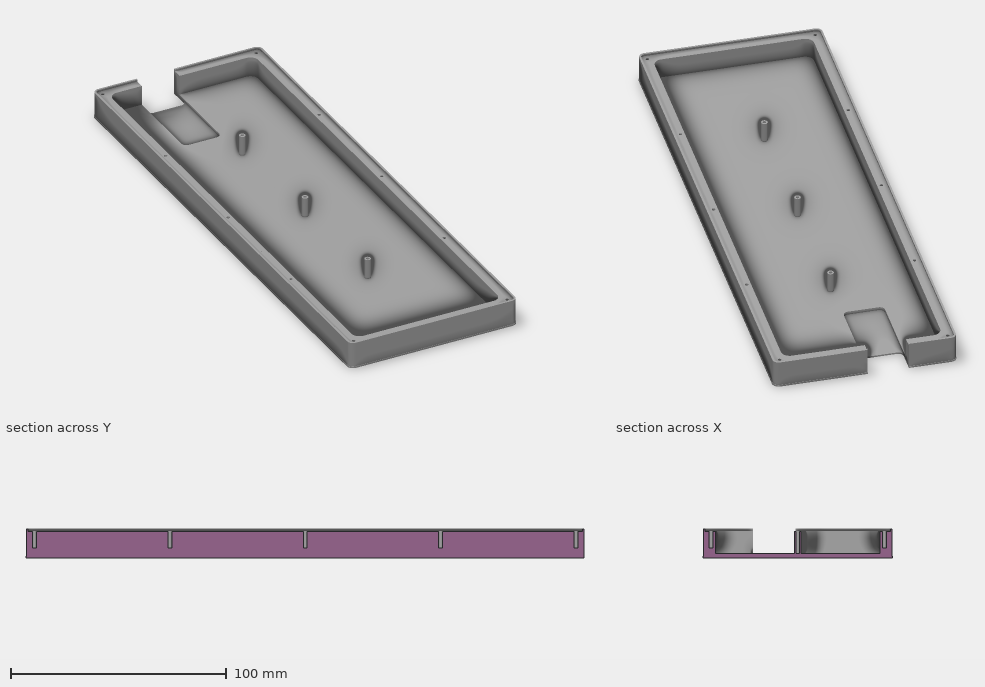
import cadquery as cq

LENGTH = 259.0
WIDTH = 88.0
HEIGHT = 13.5
CORNER_RADIUS = 3.0
FLANGE_THICKNESS = 0.8
FLANGE_OVERHANG = 0.2

WALL_LENGTH = LENGTH - 2 * FLANGE_OVERHANG
WALL_WIDTH = WIDTH - 2 * FLANGE_OVERHANG
WALL_RADIUS = CORNER_RADIUS - FLANGE_OVERHANG
LIP_THICKNESS = 0.93
LIP_HEIGHT = 1.0
RIM_TOP = HEIGHT - LIP_HEIGHT

CAVITY_INSET_X = 5.7
CAVITY_INSET_Y = 6.0
CAVITY_RADIUS = 4.1
FLOOR_TOP = 2.3

OPENING_WIDTH = 19.7
OPENING_CENTER_Y = -11.0
OPENING_RADIUS = 2.5
OPENING_DEPTH = 12.5
RECESS_DEPTH = 48.0
RECESS_FLOOR = FLANGE_THICKNESS

HOLE_DIAMETER = 1.6
HOLE_DEPTH = 7.8
HOLES_PER_ROW = 5
HOLE_ROW_HALF_LENGTH = 125.5
HOLE_ROW_Y = 40.1
HOLE_PITCH = 2 * HOLE_ROW_HALF_LENGTH / (HOLES_PER_ROW - 1)

PIN_DIAMETER = 3.0
PIN_TOP = RIM_TOP
PIN_POINTS = [(i * HOLE_PITCH, 0) for i in (-1, 0, 1)]


def rounded_block(length, width, height, radius, bottom):
    """Block centred in X and Y with rounded vertical edges."""
    block = cq.Workplane("XY").box(length, width, height, centered=(True, True, False))
    return block.edges("|Z").fillet(radius).translate((0, 0, bottom))


def make_body():
    flange = rounded_block(LENGTH, WIDTH, FLANGE_THICKNESS, CORNER_RADIUS, 0)
    walls = rounded_block(WALL_LENGTH, WALL_WIDTH, HEIGHT, WALL_RADIUS, 0)
    return walls.union(flange)


def make_lid_seat():
    length = WALL_LENGTH - 2 * LIP_THICKNESS
    width = WALL_WIDTH - 2 * LIP_THICKNESS
    return rounded_block(length, width, LIP_HEIGHT, WALL_RADIUS - LIP_THICKNESS, RIM_TOP)


def make_cavity():
    length = LENGTH - 2 * CAVITY_INSET_X
    width = WIDTH - 2 * CAVITY_INSET_Y
    return rounded_block(length, width, HEIGHT - FLOOR_TOP, CAVITY_RADIUS, FLOOR_TOP)


def make_slot(depth, bottom):
    """Slot reaching in from the -X end, rounded at its inner corners."""
    slot = cq.Workplane("XY").box(depth, OPENING_WIDTH, HEIGHT, centered=(False, True, False))
    slot = slot.edges("|Z and >X").fillet(OPENING_RADIUS)
    return slot.translate((-LENGTH / 2, OPENING_CENTER_Y, bottom))


def make_cylinders(points, diameter, bottom, top):
    plane = cq.Workplane("XY").workplane(offset=bottom)
    return plane.pushPoints(points).circle(diameter / 2).extrude(top - bottom)


def make_rim_holes():
    points = []
    for i in range(HOLES_PER_ROW):
        x = i * HOLE_PITCH - HOLE_ROW_HALF_LENGTH
        points += [(x, -HOLE_ROW_Y), (x, HOLE_ROW_Y)]
    return make_cylinders(points, HOLE_DIAMETER, RIM_TOP - HOLE_DEPTH, RIM_TOP)


result = make_body().cut(make_lid_seat()).cut(make_cavity())
result = result.cut(make_slot(OPENING_DEPTH, 0))
result = result.cut(make_slot(RECESS_DEPTH, RECESS_FLOOR))
result = result.cut(make_rim_holes())

result = result.union(make_cylinders(PIN_POINTS, PIN_DIAMETER, RECESS_FLOOR, PIN_TOP))
result = result.cut(make_cylinders(PIN_POINTS, HOLE_DIAMETER, FLOOR_TOP, PIN_TOP))